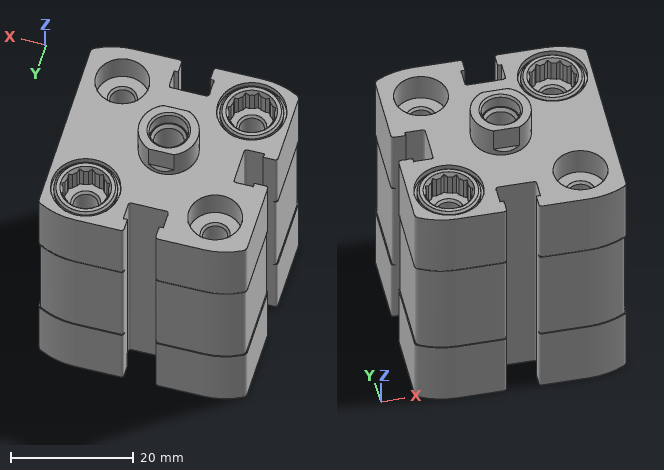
import cadquery as cq
import math

side = 35.5
half_side = side / 2
total_height = 47.5
rod_projection = 5.5
housing_height = total_height - rod_projection
cap_height = 12.0
tube_inset = 0.2
tube_height = housing_height - 2 * cap_height

shoulder_x = 11.0
shoulder_radius = 13.0
corner_fillet = 1.0

slot_mouth = 5.4
slot_width = 6.8
slot_depth = 5.75
slot_lip = 2.4
slot_fillet = 0.48

hole_offset = 11.0
through_diameter = 4.15
countersink_diameter = 4.95
plain_bore_diameter = 9.0
plain_bore_depth = 5.0

groove_outer_diameter = 11.5
sleeve_diameter = 10.5
sleeve_chamfer = 0.4
groove_depth = 1.0
socket_across_flats = 7.0
socket_tip_diameter = 7.5
socket_mouth_diameter = 8.45
socket_mouth_depth = 0.75
socket_depth = 4.5

rod_diameter = 10.0
rod_across_flats = 9.02
flat_height = 4.28
rod_bottom = housing_height - cap_height
rod_bore_diameter = 6.4
rod_bore_depth = 2.5
rod_mouth_diameter = 7.12
rod_seat_diameter = 6.05
rod_drill_diameter = 5.0
rod_drill_depth = 10.0
drill_point_angle = 118.0

OVERCUT = 0.48


def cylinder(diameter, bottom, top):
    return cq.Workplane("XY").workplane(offset=bottom).circle(diameter / 2).extrude(top - bottom)


def cone(bottom_diameter, bottom, top_diameter, top):
    """Cone frustum about the Z axis; a bottom diameter of zero gives a pointed cone."""
    return cq.Workplane(
        cq.Solid.makeCone(bottom_diameter / 2, top_diameter / 2, top - bottom, cq.Vector(0, 0, bottom))
    )


def chamfer_cone(small_diameter, large_diameter, top):
    """45 degree cone that widens upward to the large diameter at the given height."""
    return cone(small_diameter, top - (large_diameter - small_diameter) / 2, large_diameter, top)


def outline_block(inset, bottom, height):
    """Block with two flat sides and with front and back faces curving into the corners."""
    half = half_side - inset
    radius = shoulder_radius - inset
    center_y = half_side - shoulder_radius
    run = half - shoulder_x
    corner_y = center_y + math.sqrt(radius**2 - run**2)
    half_sweep = math.asin(run / radius) / 2
    mid_x = shoulder_x + radius * math.sin(half_sweep)
    mid_y = center_y + radius * math.cos(half_sweep)
    return (
        cq.Workplane("XY")
        .workplane(offset=bottom)
        .moveTo(-shoulder_x, -half)
        .lineTo(shoulder_x, -half)
        .threePointArc((mid_x, -mid_y), (half, -corner_y))
        .lineTo(half, corner_y)
        .threePointArc((mid_x, mid_y), (shoulder_x, half))
        .lineTo(-shoulder_x, half)
        .threePointArc((-mid_x, mid_y), (-half, corner_y))
        .lineTo(-half, -corner_y)
        .threePointArc((-mid_x, -mid_y), (-shoulder_x, -half))
        .close()
        .extrude(height)
        .edges("|Z and (<X or >X)")
        .fillet(corner_fillet)
    )


def slot_cutter(face, bottom, height):
    """T-slot open toward -Y, with rounded floor corners; its mouth edges are rounded into the face."""
    floor_y = slot_depth - half_side
    lip_y = slot_lip - half_side
    inner_x = slot_mouth / 2
    outer_x = inner_x + slot_fillet
    mouth = (
        cq.Workplane("XY")
        .workplane(offset=bottom)
        .moveTo(-inner_x, lip_y)
        .lineTo(inner_x, lip_y)
        .lineTo(inner_x, slot_fillet - face)
        .radiusArc((outer_x, -face), -slot_fillet)
        .lineTo(outer_x, -face - OVERCUT)
        .lineTo(-outer_x, -face - OVERCUT)
        .lineTo(-outer_x, -face)
        .radiusArc((-inner_x, slot_fillet - face), -slot_fillet)
        .close()
        .extrude(height)
    )
    channel = (
        cq.Workplane("XY")
        .workplane(offset=bottom)
        .center(0, (floor_y + lip_y) / 2)
        .rect(slot_width, floor_y - lip_y)
        .extrude(height)
        .edges("|Z and >Y")
        .fillet(slot_fillet)
    )
    return mouth.union(channel)


def housing_section(inset, bottom, height):
    """One length of the housing with slots on the front, back and left sides."""
    section = outline_block(inset, bottom, height)
    cutter = slot_cutter(half_side - inset, bottom, height)
    for angle in (0, -90, 180):
        section = section.cut(cutter.rotate((0, 0, 0), (0, 0, 1), angle))
    return section


def through_hole(floor):
    """Hole through the housing with a countersink at the floor of the recess above it."""
    drill = cylinder(through_diameter, -OVERCUT, floor)
    return drill.union(chamfer_cone(through_diameter, countersink_diameter, floor))


def plain_hole():
    floor = housing_height - plain_bore_depth
    return through_hole(floor).union(cylinder(plain_bore_diameter, floor, housing_height + OVERCUT))


def socket_hole():
    """Twelve-point socket with a chamfered mouth."""
    floor = housing_height - socket_depth
    across_corners = socket_across_flats / math.cos(math.pi / 6)
    socket = cylinder(socket_tip_diameter, floor, housing_height)
    for angle in (0, 30):
        hexagon = (
            cq.Workplane("XY")
            .workplane(offset=floor)
            .polygon(6, across_corners)
            .extrude(socket_depth)
            .rotate((0, 0, 0), (0, 0, 1), angle)
        )
        socket = socket.union(hexagon)
    mouth_bottom = housing_height - socket_mouth_depth
    mouth = cone(socket_tip_diameter, mouth_bottom, socket_mouth_diameter, housing_height)
    return through_hole(floor).union(socket).union(mouth)


def sleeve_groove():
    """Ring groove around a socket, with the sleeve's outer rim chamfered."""
    floor = housing_height - groove_depth
    chamfer_bottom = housing_height - sleeve_chamfer
    sleeve = cylinder(sleeve_diameter, floor, chamfer_bottom).union(
        cone(sleeve_diameter, chamfer_bottom, sleeve_diameter - 2 * sleeve_chamfer, housing_height)
    )
    return cylinder(groove_outer_diameter, floor, housing_height).cut(sleeve)


def make_housing():
    body = housing_section(0, 0, cap_height)
    body = body.union(housing_section(tube_inset, cap_height, tube_height))
    body = body.union(housing_section(0, cap_height + tube_height, cap_height))
    for sign in (-1, 1):
        socket_place = (sign * hole_offset, sign * hole_offset, 0)
        plain_place = (sign * hole_offset, -sign * hole_offset, 0)
        body = body.cut(socket_hole().translate(socket_place))
        body = body.cut(sleeve_groove().translate(socket_place))
        body = body.cut(plain_hole().translate(plain_place))
    return body.cut(cylinder(rod_diameter, rod_bottom, housing_height))


def wrench_flat_cutter():
    """Wedge that cuts the +Y wrench flat and ends in a 45 degree ramp."""
    flat_y = rod_across_flats / 2
    outer_y = rod_diameter / 2 + OVERCUT
    flat_bottom = total_height - flat_height
    ramp_bottom = flat_bottom - (outer_y - flat_y)
    return (
        cq.Workplane("YZ")
        .polyline(
            [(flat_y, total_height), (flat_y, flat_bottom), (outer_y, ramp_bottom), (outer_y, total_height)]
        )
        .close()
        .extrude(rod_diameter / 2, both=True)
    )


def make_rod():
    """Piston rod with two wrench flats and a stepped blind hole in its end."""
    rod = cylinder(rod_diameter, rod_bottom, total_height)
    for angle in (0, 180):
        rod = rod.cut(wrench_flat_cutter().rotate((0, 0, 0), (0, 0, 1), angle))

    bore_floor = total_height - rod_bore_depth
    drill_floor = total_height - rod_drill_depth
    drill_tip = drill_floor - rod_drill_diameter / 2 / math.tan(math.radians(drill_point_angle / 2))
    rod = rod.cut(chamfer_cone(rod_bore_diameter, rod_mouth_diameter, total_height))
    rod = rod.cut(cylinder(rod_bore_diameter, bore_floor, total_height))
    rod = rod.cut(chamfer_cone(rod_drill_diameter, rod_seat_diameter, bore_floor))
    rod = rod.cut(cylinder(rod_drill_diameter, drill_floor, bore_floor))
    return rod.cut(cone(0, drill_tip, rod_drill_diameter, drill_floor))


housing = make_housing()
piston_rod = make_rod()

result = cq.Compound.makeCompound([housing.val(), piston_rod.val()])